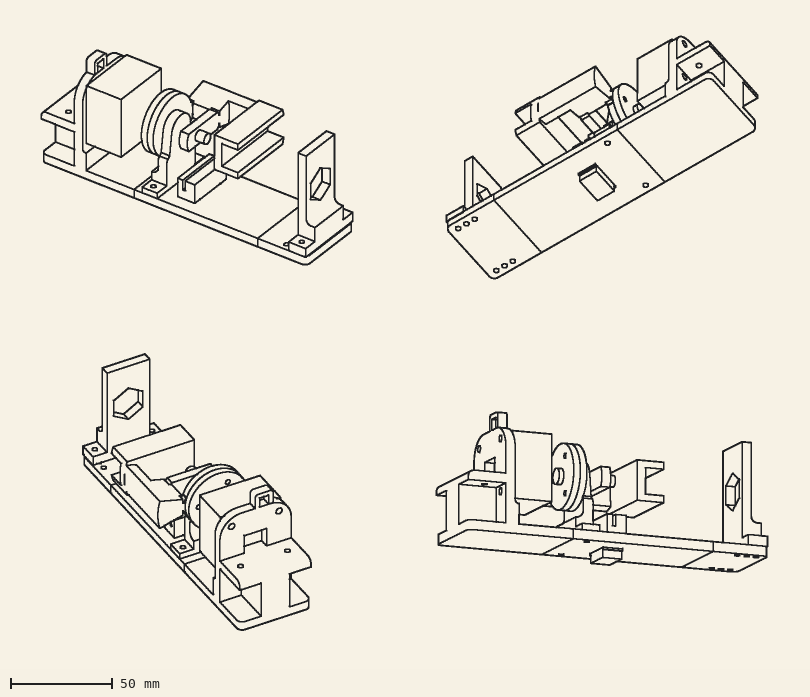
import cadquery as cq
import math

LENGTH = 160.4
WIDTH = 40.1
BASE_T = 5.0
CORNER_R = 3.0
FRONT_END = 56.1
MIDDLE_END = 130.9
AXIS_Y = 0.2
AXIS_Z = 35.5
SCREW_Y = 16.0
SCREW_D = 2.5
HALF_W = WIDTH / 2

PLATE_X = 20.0
PLATE_T = 5.0
PLATE_END = PLATE_X + PLATE_T
PLATE_TOP = 55.0
PLATE_R = 12.0
SHELF_TOP = 30.0
SHELF_T = 5.0
WEB_W = 16.0
FOOT_T = 2.1
FOOT_TOP = 15.2
FOOT_R = 2.0
WINDOW_W = 12.5
WINDOW_TOP = 40.5
MOTOR_SCREW_SPACING = 26.6
MOTOR_SCREW_D = 3.4
SHELF_HOLE_X = 11.5
SHELF_HOLE_Y = 13.1
SHELF_HOLE_D = 2.7
LOOP_W = 10.3
LOOP_Y = -4.8
LOOP_TOP = 63.0
LOOP_R = 2.0
LOOP_HOLE_W = 5.0
LOOP_HOLE_H = 5.5

MOTOR_L = 21.0
MOTOR_W = 34.0

BEARING_X = 61.0
BEARING_END = 70.0
BEARING_POST_X = 65.0
BEARING_PAD_TOP = 8.2
BEARING_FOOT_TOP = 13.0
BEARING_FOOT_W = 24.0
BEARING_SCREW_X = 65.0
BOSS_R = 8.0
BOSS_BOTTOM_W = 19.2
BOSS_TAPER = 7.0
SHOULDER_BOTTOM = 21.2
SHOULDER_BEND_Y = 10.9
SHOULDER_BEND_Z = 23.1
SHOULDER_TOP = 24.5

DISC_D = 33.0
DISC_T = 3.5
DISC_X = 57.9
STUB_D = 8.0
STUB_L = 2.4
DISC_HOLE_D = 2.5
DISC_HOLE_RADIUS = 10.9
ARM_X = DISC_X + DISC_T
ARM_OUTER_R = 31.9
ARM_INNER_R = 17.0
BEAM_INNER_R = 26.1
SECTOR_HALF_ANGLE = 15.0
BAR_W = 10.1
EAR_X = 75.9
EAR_T = 4.8
EAR_END = EAR_X + EAR_T
BAR_FRONT_R = 9.6
BAR_BACK_R = 8.0
BAR_END_Y = 17.8
TONGUE_W = 4.8
PIN_D = 5.8
PIN_L = 5.3
CHANNEL_X = 95.5
CHANNEL_END = 109.8
CHANNEL_WEB_T = 4.5
CHANNEL_FLANGE_T = 3.5
CHANNEL_H = 20.4
CHANNEL_Y = -7.4

SENSOR_X = 77.3
SENSOR_L = 10.3
SENSOR_W = 26.6
SENSOR_Y = 0.6
SENSOR_TOP = 15.9
SENSOR_NECK_W = 17.0
SENSOR_NECK_DROP = 1.0
SENSOR_TAIL_W = 15.0
SENSOR_BOTTOM = -5.0
SLOT_X = 80.3
SLOT_W = 1.5
SLOT_BOTTOM = 10.1

END_X = 149.6
END_L = 10.3
END_W = 39.8
END_Y = -0.2
END_PAD_TOP = 10.1
END_FOOT_TOP = 18.3
END_COLUMN_T = 5.0
END_COLUMN_W = 24.0
END_COLUMN_TOP = 58.4
END_FILLET_R = 3.0
END_SCREW_X = 154.7
HEX_FLATS = 16.4
END_HOLE_X = 145.5
END_HOLE_PITCH = 5.0
END_HOLE_COUNT = 3


def box(x0, x1, y0, y1, z0, z1):
    """Box between two opposite corners."""
    return cq.Workplane("XY").box(x1 - x0, y1 - y0, z1 - z0, centered=False).translate((x0, y0, z0))


def centred_box(x0, x1, width, z0, z1, y=0.0):
    """Box of a given width in Y, centred on y."""
    return box(x0, x1, y - width / 2, y + width / 2, z0, z1)


def rod_x(x0, x1, diameter, y=AXIS_Y, z=AXIS_Z):
    """Cylinder along X."""
    return cq.Workplane("YZ", origin=(x0, y, z)).circle(diameter / 2).extrude(x1 - x0)


def drill_z(points, diameter, z0, z1):
    """Vertical cylinders to cut holes with."""
    return cq.Workplane("XY", origin=(0, 0, z0)).pushPoints(points).circle(diameter / 2).extrude(z1 - z0)


def side_pair(x, y_offset, y=0.0):
    """Two points mirrored about y at one X station."""
    return [(x, y - y_offset), (x, y + y_offset)]


def make_motor_mount():
    """Front base plate with the upright motor plate, its shelf and the cable loop."""
    base = box(0, FRONT_END, -HALF_W, HALF_W, 0, BASE_T).edges("|Z and <X").fillet(CORNER_R)

    plate = centred_box(PLATE_X, PLATE_END, WIDTH, BASE_T, PLATE_TOP).edges("|X and >Z").fillet(PLATE_R)
    foot = (
        cq.Workplane("XZ", origin=(0, HALF_W, 0))
        .moveTo(PLATE_END, BASE_T)
        .lineTo(PLATE_END + FOOT_T, BASE_T)
        .lineTo(PLATE_END + FOOT_T, FOOT_TOP)
        .lineTo(PLATE_END + FOOT_R, FOOT_TOP)
        .radiusArc((PLATE_END, FOOT_TOP + FOOT_R), FOOT_R)
        .close()
        .extrude(WIDTH)
    )
    loop = (
        centred_box(PLATE_X, PLATE_END, LOOP_W, PLATE_TOP, LOOP_TOP, LOOP_Y)
        .edges("|X and >Z").fillet(LOOP_R)
        .cut(centred_box(PLATE_X, PLATE_END, LOOP_HOLE_W, PLATE_TOP, PLATE_TOP + LOOP_HOLE_H, LOOP_Y))
    )

    shelf = centred_box(0, PLATE_X, WIDTH, SHELF_TOP - SHELF_T, SHELF_TOP)
    shelf = shelf.edges("|Y and >Z and <X").fillet(CORNER_R)
    shelf_holes = drill_z(side_pair(SHELF_HOLE_X, SHELF_HOLE_Y), SHELF_HOLE_D, SHELF_TOP - SHELF_T, SHELF_TOP)
    web = centred_box(0, PLATE_X, WEB_W, BASE_T, SHELF_TOP - SHELF_T)

    mount = base.union(plate).union(foot).union(loop).union(shelf.cut(shelf_holes)).union(web)
    mount = mount.cut(centred_box(PLATE_X, PLATE_END, WINDOW_W, SHELF_TOP, WINDOW_TOP, AXIS_Y))
    half_spacing = MOTOR_SCREW_SPACING / 2
    for y in (AXIS_Y - half_spacing, AXIS_Y + half_spacing):
        for z in (AXIS_Z - half_spacing, AXIS_Z + half_spacing):
            mount = mount.cut(rod_x(PLATE_X, PLATE_END, MOTOR_SCREW_D, y, z))
    return mount


def make_motor():
    """Square motor body against the back of the motor plate."""
    return centred_box(
        PLATE_END, PLATE_END + MOTOR_L, MOTOR_W, AXIS_Z - MOTOR_W / 2, AXIS_Z + MOTOR_W / 2, AXIS_Y
    )


def make_middle_base():
    """Middle base plate with bearing screw holes and an opening for the sensor neck."""
    plate = centred_box(FRONT_END, MIDDLE_END, WIDTH, 0, BASE_T)
    plate = plate.cut(drill_z(side_pair(BEARING_SCREW_X, SCREW_Y), SCREW_D, 0, BASE_T))
    return plate.cut(centred_box(SENSOR_X, SENSOR_X + SENSOR_L, SENSOR_NECK_W, 0, BASE_T, SENSOR_Y))


def make_end_base():
    """End base plate with two rows of screw holes for setting the end bracket."""
    plate = centred_box(MIDDLE_END, LENGTH, WIDTH, 0, BASE_T).edges("|Z and >X").fillet(CORNER_R)
    for i in range(END_HOLE_COUNT):
        hole_x = END_HOLE_X + i * END_HOLE_PITCH
        plate = plate.cut(drill_z(side_pair(hole_x, SCREW_Y), SCREW_D, 0, BASE_T))
    return plate


def make_bearing_bracket():
    """Bracket with screw pads, a filleted foot and a rounded post behind the swing arm plate."""
    pads = centred_box(BEARING_X, BEARING_END, WIDTH, BASE_T, BEARING_PAD_TOP)
    pads = pads.cut(drill_z(side_pair(BEARING_SCREW_X, SCREW_Y), SCREW_D, BASE_T, BEARING_PAD_TOP))

    foot_r = BEARING_POST_X - BEARING_X
    foot = (
        cq.Workplane("XZ", origin=(0, AXIS_Y + BEARING_FOOT_W / 2, 0))
        .moveTo(BEARING_X, BASE_T)
        .lineTo(BEARING_POST_X, BASE_T)
        .lineTo(BEARING_POST_X, BEARING_FOOT_TOP + foot_r)
        .radiusArc((BEARING_X, BEARING_FOOT_TOP), foot_r)
        .close()
        .extrude(BEARING_FOOT_W)
    )

    half_foot = BEARING_FOOT_W / 2
    half_boss = BOSS_BOTTOM_W / 2
    taper = math.radians(BOSS_TAPER)
    tangent_y = BOSS_R * math.cos(taper)
    tangent_z = AXIS_Z + BOSS_R * math.sin(taper)
    shoulder_r = SHOULDER_BEND_Z - SHOULDER_BOTTOM
    post = (
        cq.Workplane("YZ", origin=(BEARING_POST_X, AXIS_Y, 0))
        .moveTo(-half_foot, BASE_T)
        .lineTo(half_foot, BASE_T)
        .lineTo(half_foot, SHOULDER_BOTTOM)
        .radiusArc((SHOULDER_BEND_Y, SHOULDER_BEND_Z), -shoulder_r)
        .lineTo(half_boss, SHOULDER_TOP)
        .lineTo(tangent_y, tangent_z)
        .threePointArc((0, AXIS_Z + BOSS_R), (-tangent_y, tangent_z))
        .lineTo(-half_boss, SHOULDER_TOP)
        .lineTo(-SHOULDER_BEND_Y, SHOULDER_BEND_Z)
        .radiusArc((-half_foot, SHOULDER_BOTTOM), -shoulder_r)
        .close()
        .extrude(BEARING_END - BEARING_POST_X)
    )
    return pads.union(foot).union(post)


def make_drive_disc():
    """Disc with a short shaft stub and three screw holes."""
    disc = rod_x(DISC_X, ARM_X, DISC_D).union(rod_x(DISC_X - STUB_L, DISC_X, STUB_D))
    for i in range(3):
        angle = math.radians(120 * i)
        y = AXIS_Y + DISC_HOLE_RADIUS * math.cos(angle)
        z = AXIS_Z + DISC_HOLE_RADIUS * math.sin(angle)
        disc = disc.cut(rod_x(DISC_X, ARM_X, DISC_HOLE_D, y, z))
    return disc


def sector(x0, x1, inner_r):
    """Ring sector about the rotation axis, centred on +Y and reaching the arm's outer radius."""
    cos_a = math.cos(math.radians(SECTOR_HALF_ANGLE))
    sin_a = math.sin(math.radians(SECTOR_HALF_ANGLE))
    return (
        cq.Workplane("YZ", origin=(x0, AXIS_Y, AXIS_Z))
        .moveTo(inner_r * cos_a, -inner_r * sin_a)
        .lineTo(ARM_OUTER_R * cos_a, -ARM_OUTER_R * sin_a)
        .threePointArc((ARM_OUTER_R, 0), (ARM_OUTER_R * cos_a, ARM_OUTER_R * sin_a))
        .lineTo(inner_r * cos_a, inner_r * sin_a)
        .threePointArc((inner_r, 0), (inner_r * cos_a, -inner_r * sin_a))
        .close()
        .extrude(x1 - x0)
    )


def bar_block(x0, x1, y0, y1, height=BAR_W):
    """Block of bar height between two distances from the axis in Y."""
    return box(x0, x1, AXIS_Y + y0, AXIS_Y + y1, AXIS_Z - height / 2, AXIS_Z + height / 2)


def bar(x0, x1):
    """Bar from the axis to the side sector, with a rounded end and a tongue that meets the sector."""
    round_y = BAR_END_Y - BAR_BACK_R
    round_end = rod_x(x0, x1, 2 * BAR_BACK_R, AXIS_Y + round_y)
    round_end = round_end.intersect(bar_block(x0, x1, round_y, BAR_END_Y))
    straight = bar_block(x0, x1, 0, round_y)
    tongue = bar_block(x0, x1, round_y, BAR_END_Y, TONGUE_W)
    return straight.union(round_end).union(tongue)


def make_swing_arm():
    """Arm turning about the axis: disc, ear with pin, side sector and a C channel."""
    disc_end = ARM_X + DISC_T
    disc = rod_x(ARM_X, disc_end, DISC_D).union(bar(ARM_X, disc_end))
    ear_tip = bar_block(EAR_X, EAR_END, -BAR_FRONT_R, 0)
    ear_tip = ear_tip.intersect(rod_x(EAR_X, EAR_END, 2 * BAR_FRONT_R))
    ear = bar(EAR_X, EAR_END).union(ear_tip).union(rod_x(EAR_END, EAR_END + PIN_L, PIN_D))

    side = sector(ARM_X, EAR_END, ARM_INNER_R).union(sector(EAR_END, CHANNEL_X, BEAM_INNER_R))
    for x0, x1 in ((ARM_X, disc_end), (EAR_X, EAR_END)):
        side = side.cut(bar_block(x0, x1, 0, BAR_END_Y))

    channel_bottom = AXIS_Z - CHANNEL_H / 2
    channel_top = AXIS_Z + CHANNEL_H / 2
    channel = box(CHANNEL_X, CHANNEL_END, CHANNEL_Y, ARM_OUTER_R, channel_bottom, channel_top)
    channel_gap = box(
        CHANNEL_X + CHANNEL_WEB_T, CHANNEL_END, CHANNEL_Y, ARM_OUTER_R,
        channel_bottom + CHANNEL_FLANGE_T, channel_top - CHANNEL_FLANGE_T,
    )
    channel = channel.cut(channel_gap).intersect(rod_x(CHANNEL_X, CHANNEL_END, 2 * ARM_OUTER_R))
    return side.union(disc).union(ear).union(channel)


def make_sensor():
    """Slotted sensor whose neck passes through the middle base plate."""
    end_x = SENSOR_X + SENSOR_L
    head = centred_box(SENSOR_X, end_x, SENSOR_W, BASE_T, SENSOR_TOP, SENSOR_Y)
    neck = centred_box(SENSOR_X, end_x, SENSOR_NECK_W, -SENSOR_NECK_DROP, BASE_T, SENSOR_Y)
    tail = centred_box(SENSOR_X, end_x, SENSOR_TAIL_W, SENSOR_BOTTOM, -SENSOR_NECK_DROP, SENSOR_Y)
    slot = centred_box(SLOT_X, SLOT_X + SLOT_W, SENSOR_W, SLOT_BOTTOM, SENSOR_TOP, SENSOR_Y)
    return head.cut(slot).union(neck).union(tail)


def make_end_bracket():
    """End bracket with screw pads and a column that has a hexagonal opening."""
    end_x = END_X + END_L
    column_back = END_X + END_COLUMN_T
    pads = centred_box(END_X, end_x, END_W, BASE_T, END_PAD_TOP, END_Y)
    pads = pads.cut(drill_z(side_pair(END_SCREW_X, SCREW_Y, END_Y), SCREW_D, BASE_T, END_PAD_TOP))
    column = (
        cq.Workplane("XZ", origin=(0, END_Y + END_COLUMN_W / 2, 0))
        .moveTo(END_X, BASE_T)
        .lineTo(end_x, BASE_T)
        .lineTo(end_x, END_FOOT_TOP)
        .lineTo(column_back + END_FILLET_R, END_FOOT_TOP)
        .radiusArc((column_back, END_FOOT_TOP + END_FILLET_R), END_FILLET_R)
        .lineTo(column_back, END_COLUMN_TOP)
        .lineTo(END_X, END_COLUMN_TOP)
        .close()
        .extrude(END_COLUMN_W)
    )
    hexagon = (
        cq.Workplane("YZ", origin=(END_X, END_Y, AXIS_Z))
        .transformed(rotate=(0, 0, 90))
        .polygon(6, HEX_FLATS / math.cos(math.pi / 6))
        .extrude(END_COLUMN_T)
    )
    return pads.union(column).cut(hexagon)


motor_mount = make_motor_mount()
motor = make_motor()
middle_base = make_middle_base()
end_base = make_end_base()
bearing_bracket = make_bearing_bracket()
drive_disc = make_drive_disc()
swing_arm = make_swing_arm()
sensor = make_sensor()
end_bracket = make_end_bracket()

result = cq.Compound.makeCompound([
    motor_mount.solids().val(),
    motor.solids().val(),
    middle_base.solids().val(),
    end_base.solids().val(),
    bearing_bracket.solids().val(),
    drive_disc.solids().val(),
    swing_arm.solids().val(),
    sensor.solids().val(),
    end_bracket.solids().val(),
])